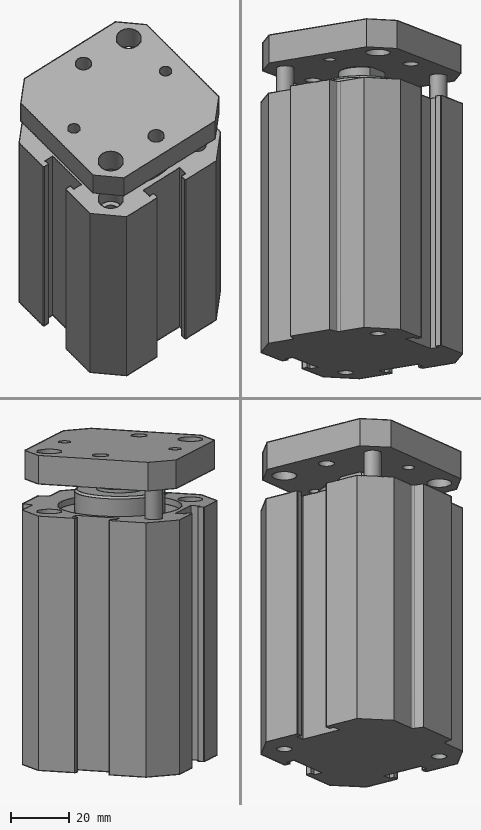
import cadquery as cq

HOUSING_SIDE = 57.0
HOUSING_HEIGHT = 88.6
HOUSING_CHAMFER = 9.0
HALF_SIDE = HOUSING_SIDE / 2

RAIL_HEIGHT = 3.9
RAIL_TOP_WIDTH = 16.0
RAIL_BASE_WIDTH = 18.0
RAIL_FOOT_RADIUS = 1.1

SLOT_MOUTH_WIDTH = 12.0
SLOT_MOUTH_CHAMFER = 0.3
SLOT_LIP = 2.2
SLOT_INNER_WIDTH = 15.8
SLOT_DEPTH = 5.5

HEAD_RECESS_DIAMETER = 42.5
HEAD_RECESS_DEPTH = 2.2
COLLAR_DIAMETER = 31.0
COLLAR_TOP = 94.4
COLLAR_CHAMFER = 0.8

PLATE_SIDE = 55.0
PLATE_THICKNESS = 10.0
PLATE_CHAMFER = 7.6
PLATE_TOP = 109.5
PLATE_BOTTOM = PLATE_TOP - PLATE_THICKNESS
PISTON_ROD_DIAMETER = 16.0
WRENCH_FLAT_WIDTH = 12.9
WRENCH_FLAT_BOTTOM = 95.5
PISTON_ROD_TIP_CHAMFER = 0.3
GUIDE_ROD_DIAMETER = 6.0

ROD_DEPTH = 21.9

CORNER_OFFSET = 18.9
COUNTERBORE_DIAMETER = 8.5
COUNTERBORE_DEPTH = 7.0
MOUNT_HOLE_DIAMETER = 5.3
CROSS_OFFSET = 20.0
X_HOLE_DIAMETER = 5.5
Y_HOLE_DIAMETER = 4.2

MOUNT_POINTS = [(-CORNER_OFFSET, CORNER_OFFSET), (CORNER_OFFSET, -CORNER_OFFSET)]
GUIDE_POINTS = [(-CORNER_OFFSET, -CORNER_OFFSET), (CORNER_OFFSET, CORNER_OFFSET)]


def chamfered_block(side, height, chamfer, bottom):
    """Square block with its four upright edges cut off."""
    block = cq.Workplane("XY").box(side, side, height, centered=(True, True, False))
    return block.edges("|Z").chamfer(chamfer).translate((0, 0, bottom))


def cylinders(points, diameter, bottom, top):
    """Upright cylinders at the given XY points."""
    base = cq.Workplane("XY").workplane(offset=bottom).pushPoints(points)
    return base.circle(diameter / 2).extrude(top - bottom)


def make_rail():
    """Tapered rail, with sharp feet, along the +Y face."""
    rail_top = HALF_SIDE + RAIL_HEIGHT
    return (
        cq.Workplane("XY")
        .moveTo(-RAIL_BASE_WIDTH / 2, HALF_SIDE)
        .lineTo(-RAIL_TOP_WIDTH / 2, rail_top)
        .lineTo(RAIL_TOP_WIDTH / 2, rail_top)
        .lineTo(RAIL_BASE_WIDTH / 2, HALF_SIDE)
        .close()
        .extrude(HOUSING_HEIGHT)
    )


def add_rail(body):
    """Join the rail to the +Y face and round its two inner corners."""
    body = body.union(make_rail())
    margin = RAIL_HEIGHT / 2
    foot_edges = cq.selectors.BoxSelector(
        (-RAIL_BASE_WIDTH / 2 - margin, HALF_SIDE - margin, 0),
        (RAIL_BASE_WIDTH / 2 + margin, HALF_SIDE + margin, HOUSING_HEIGHT),
    )
    return body.edges("|Z").edges(foot_edges).fillet(RAIL_FOOT_RADIUS)


def make_slot():
    """T-slot cutter for the -Y face, over the full height."""
    face = -HALF_SIDE
    mouth = SLOT_MOUTH_WIDTH / 2
    right_side = [
        (mouth + SLOT_MOUTH_CHAMFER, face),
        (mouth, face + SLOT_MOUTH_CHAMFER),
        (mouth, face + SLOT_LIP),
        (SLOT_INNER_WIDTH / 2, face + SLOT_LIP),
        (SLOT_INNER_WIDTH / 2, face + SLOT_DEPTH),
    ]
    left_side = [(-x, y) for x, y in reversed(right_side)]
    return cq.Workplane("XY").polyline(right_side + left_side).close().extrude(HOUSING_HEIGHT)


def make_housing():
    """Slotted body with its head collar, mounting holes and rod bores."""
    body = add_rail(chamfered_block(HOUSING_SIDE, HOUSING_HEIGHT, HOUSING_CHAMFER, 0))
    for angle in (-90, 0, 90):
        body = body.cut(make_slot().rotate((0, 0, 0), (0, 0, 1), angle))
    recess_floor = HOUSING_HEIGHT - HEAD_RECESS_DEPTH
    body = body.cut(cylinders([(0, 0)], HEAD_RECESS_DIAMETER, recess_floor, HOUSING_HEIGHT))
    collar = cylinders([(0, 0)], COLLAR_DIAMETER, recess_floor, COLLAR_TOP)
    body = body.union(collar.faces(">Z").chamfer(COLLAR_CHAMFER))
    rod_bottom = HOUSING_HEIGHT - ROD_DEPTH
    body = body.cut(cylinders([(0, 0)], PISTON_ROD_DIAMETER, rod_bottom, COLLAR_TOP))
    body = body.cut(cylinders(GUIDE_POINTS, GUIDE_ROD_DIAMETER, rod_bottom, HOUSING_HEIGHT))
    body = body.cut(cylinders(MOUNT_POINTS, MOUNT_HOLE_DIAMETER, 0, HOUSING_HEIGHT))
    counterbore_floor = HOUSING_HEIGHT - COUNTERBORE_DEPTH
    return body.cut(cylinders(MOUNT_POINTS, COUNTERBORE_DIAMETER, counterbore_floor, HOUSING_HEIGHT))


def make_piston_rod():
    """Round rod with two wrench flats facing -X and +X below the plate."""
    rod = cylinders([(0, 0)], PISTON_ROD_DIAMETER, HOUSING_HEIGHT - ROD_DEPTH, PLATE_BOTTOM)
    rod = rod.faces(">Z").chamfer(PISTON_ROD_TIP_CHAMFER)
    flat_height = PLATE_BOTTOM - WRENCH_FLAT_BOTTOM
    flat_depth = (PISTON_ROD_DIAMETER - WRENCH_FLAT_WIDTH) / 2
    for side in (-1, 1):
        flat_center = side * (WRENCH_FLAT_WIDTH + flat_depth) / 2
        cutter = cq.Workplane("XY").box(
            flat_depth, PISTON_ROD_DIAMETER, flat_height, centered=(True, True, False)
        )
        rod = rod.cut(cutter.translate((flat_center, 0, WRENCH_FLAT_BOTTOM)))
    return rod


def make_carriage():
    """Drilled plate in one piece with the piston rod and both guide rods."""
    plate = chamfered_block(PLATE_SIDE, PLATE_THICKNESS, PLATE_CHAMFER, PLATE_BOTTOM)
    x_points = [(-CROSS_OFFSET, 0), (CROSS_OFFSET, 0)]
    y_points = [(0, -CROSS_OFFSET), (0, CROSS_OFFSET)]
    plate_holes = [
        (MOUNT_POINTS, COUNTERBORE_DIAMETER),
        (x_points, X_HOLE_DIAMETER),
        (y_points, Y_HOLE_DIAMETER),
    ]
    for points, diameter in plate_holes:
        plate = plate.cut(cylinders(points, diameter, PLATE_BOTTOM, PLATE_TOP))
    guides = cylinders(GUIDE_POINTS, GUIDE_ROD_DIAMETER, HOUSING_HEIGHT - ROD_DEPTH, PLATE_BOTTOM)
    return plate.union(make_piston_rod()).union(guides)


housing = make_housing()
carriage = make_carriage()

result = cq.Compound.makeCompound([housing.val(), carriage.val()])